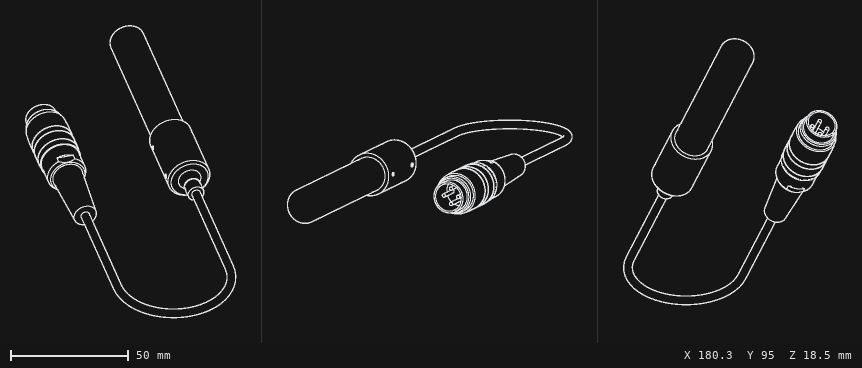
import cadquery as cq
import math

TILT = -13.3
BEND_RADIUS = 24.7
CABLE_DIAMETER = 3.8

BARREL_DIAMETER = 15.1
BARREL_TIP_X = -162.4
BARREL_TIP_FILLET = 1.8

SLEEVE_DIAMETER = 18.5
SLEEVE_START_X = -92.5
SLEEVE_END_X = -62.4
SLEEVE_CHAMFER = 1.0
GLAND_CONE_DIAMETER = 10.0
GLAND_NECK_DIAMETER = 6.3
GLAND_DIAMETER = 7.0
GLAND_CONE_END_X = -58.4
GLAND_END_X = -52.3
BARREL_INSERTION = 21.6
FRONT_HOLE_DIAMETER = 1.5
REAR_HOLE_DIAMETER = 1.7
SCREW_HOLE_DEPTH = 0.4
SCREW_HOLE_INSET = 5.0

NOSE_DIAMETER = 13.5
COLLAR_FRONT_DIAMETER = 15.0
COLLAR_DIAMETER = 16.0
COLLAR_CHAMFER_LENGTH = 0.7
GRIP_FRONT_DIAMETER = 17.7
GRIP_DIAMETER = 18.2
GROOVE_DIAMETER = 17.8
REAR_DIAMETER = 17.0
BOOT_FRONT_DIAMETER = 13.2
BOOT_REAR_DIAMETER = 10.0
PLUG_TIP_X = -120.4
COLLAR_X = -115.9
GRIP_X = -112.3
GRIP_CONE_END_X = -108.0
FRONT_GROOVE_X = -102.2
REAR_GROOVE_X = -93.0
GROOVE_WIDTH = 3.5
REAR_END_X = -78.2
REAR_CHAMFER_LENGTH = 1.6
REAR_END_DIAMETER = 15.1
BOOT_END_X = -50.6
SOCKET_DIAMETER = 11.9
SOCKET_DEPTH = 11.7
PIN_DIAMETER = 1.5
PIN_LENGTH = 9.0
PIN_CIRCLE_DIAMETER = 6.7
PIN_COUNT = 4
FLAT_WIDTH = 7.2
FLAT_START_X = -82.4

CABLE_INSERTION = 5.4


def rod(diameter, start_x, end_x):
    """Cylinder along X, centred on the X axis."""
    return cq.Workplane("YZ", origin=(start_x, 0, 0)).circle(diameter / 2).extrude(end_x - start_x)


def turned(profile):
    """Solid of revolution about X from (x, diameter) points, closed along the axis."""
    points = [(x, diameter / 2) for x, diameter in profile]
    first_x = points[0][0]
    last_x = points[-1][0]
    outline = [(first_x, 0)] + points + [(last_x, 0)]
    return cq.Workplane("XY").polyline(outline).close().revolve(360, (0, 0, 0), (1, 0, 0))


def make_barrel():
    barrel = rod(BARREL_DIAMETER, BARREL_TIP_X, SLEEVE_START_X + BARREL_INSERTION)
    return barrel.faces("<X").edges().fillet(BARREL_TIP_FILLET)


def make_sleeve():
    sleeve = turned([
        (SLEEVE_START_X, SLEEVE_DIAMETER),
        (SLEEVE_END_X - SLEEVE_CHAMFER, SLEEVE_DIAMETER),
        (SLEEVE_END_X, SLEEVE_DIAMETER - 2 * SLEEVE_CHAMFER),
        (SLEEVE_END_X, GLAND_CONE_DIAMETER),
        (GLAND_CONE_END_X, GLAND_NECK_DIAMETER),
        (GLAND_CONE_END_X, GLAND_DIAMETER),
        (GLAND_END_X, GLAND_DIAMETER),
    ])
    sleeve = sleeve.cut(rod(BARREL_DIAMETER, SLEEVE_START_X, SLEEVE_START_X + BARREL_INSERTION))
    sleeve = sleeve.cut(rod(CABLE_DIAMETER, GLAND_END_X - CABLE_INSERTION, GLAND_END_X))
    screw_holes = [
        (SLEEVE_START_X + SCREW_HOLE_INSET, FRONT_HOLE_DIAMETER),
        (SLEEVE_END_X - SCREW_HOLE_INSET, REAR_HOLE_DIAMETER),
    ]
    for x, diameter in screw_holes:
        hole = (
            cq.Workplane("XZ", origin=(x, -SLEEVE_DIAMETER / 2, 0))
            .circle(diameter / 2)
            .extrude(-SCREW_HOLE_DEPTH)
        )
        sleeve = sleeve.cut(hole)
    return sleeve


def plug_profile():
    return [
        (PLUG_TIP_X, NOSE_DIAMETER),
        (COLLAR_X, NOSE_DIAMETER),
        (COLLAR_X, COLLAR_FRONT_DIAMETER),
        (COLLAR_X + COLLAR_CHAMFER_LENGTH, COLLAR_DIAMETER),
        (GRIP_X, COLLAR_DIAMETER),
        (GRIP_X, GRIP_FRONT_DIAMETER),
        (GRIP_CONE_END_X, GRIP_DIAMETER),
        (FRONT_GROOVE_X, GRIP_DIAMETER),
        (FRONT_GROOVE_X, GROOVE_DIAMETER),
        (FRONT_GROOVE_X + GROOVE_WIDTH, GROOVE_DIAMETER),
        (FRONT_GROOVE_X + GROOVE_WIDTH, GRIP_DIAMETER),
        (REAR_GROOVE_X, GRIP_DIAMETER),
        (REAR_GROOVE_X, GROOVE_DIAMETER),
        (REAR_GROOVE_X + GROOVE_WIDTH, GROOVE_DIAMETER),
        (REAR_GROOVE_X + GROOVE_WIDTH, REAR_DIAMETER),
        (REAR_END_X - REAR_CHAMFER_LENGTH, REAR_DIAMETER),
        (REAR_END_X, REAR_END_DIAMETER),
        (REAR_END_X, BOOT_FRONT_DIAMETER),
        (BOOT_END_X, BOOT_REAR_DIAMETER),
    ]


def socket_pins(floor_x):
    """Ring of contact pins standing on the socket floor."""
    return (
        cq.Workplane("YZ", origin=(floor_x, 0, 0))
        .polarArray(PIN_CIRCLE_DIAMETER / 2, 0, 360, PIN_COUNT)
        .circle(PIN_DIAMETER / 2)
        .extrude(-PIN_LENGTH)
    )


def wrench_flat():
    """Block that cuts the upper flat, FLAT_WIDTH wide, at the rear of the plug."""
    height = math.sqrt(REAR_DIAMETER**2 - FLAT_WIDTH**2) / 2
    return cq.Workplane("XY", origin=(FLAT_START_X, 0, height)).box(
        REAR_END_X - FLAT_START_X, REAR_DIAMETER, REAR_DIAMETER, centered=(False, True, False)
    )


def make_plug():
    floor_x = PLUG_TIP_X + SOCKET_DEPTH
    plug = turned(plug_profile())
    plug = plug.cut(rod(SOCKET_DIAMETER, PLUG_TIP_X, floor_x))
    plug = plug.union(socket_pins(floor_x))
    plug = plug.cut(wrench_flat())
    plug = plug.cut(wrench_flat().mirror("XY"))
    return plug.cut(rod(CABLE_DIAMETER, BOOT_END_X - CABLE_INSERTION, BOOT_END_X))


def make_cable():
    path = (
        cq.Workplane("XY")
        .moveTo(GLAND_END_X - CABLE_INSERTION, BEND_RADIUS)
        .lineTo(0, BEND_RADIUS)
        .threePointArc((BEND_RADIUS, 0), (0, -BEND_RADIUS))
        .lineTo(BOOT_END_X - CABLE_INSERTION, -BEND_RADIUS)
    )
    start = cq.Workplane("YZ", origin=(GLAND_END_X - CABLE_INSERTION, BEND_RADIUS, 0))
    return start.circle(CABLE_DIAMETER / 2).sweep(path)


def placed(body, run_y=0):
    """Moves a body to its run and turns it to its final direction."""
    return body.translate((0, run_y, 0)).rotate((0, 0, 0), (0, 0, 1), TILT)


barrel = placed(make_barrel(), BEND_RADIUS)
sleeve = placed(make_sleeve(), BEND_RADIUS)
plug = placed(make_plug(), -BEND_RADIUS)
cable = placed(make_cable())

result = cq.Compound.makeCompound([barrel.val(), sleeve.val(), plug.val(), cable.val()])